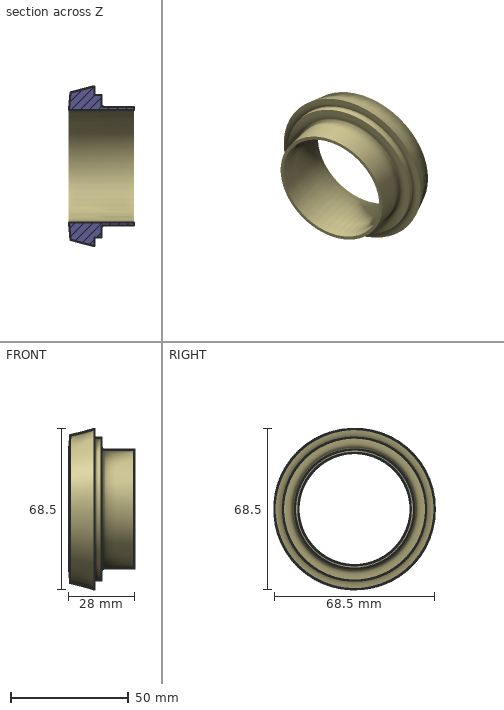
import cadquery as cq

total_length = 28.0
flange_back = 11.0
shoulder_back = 14.05
rim_depth = 0.6

flange_diameter = 68.5
rim_diameter = 63.0
shoulder_diameter = 61.0
spigot_diameter = 50.8
bore_diameter = 47.8
seat_diameter = 48.8

root_fillet = 0.9

half_section = (
    cq.Workplane("XY")
    .moveTo(0, bore_diameter / 2)
    .lineTo(0, seat_diameter / 2)
    .lineTo(rim_depth, rim_diameter / 2)
    .lineTo(flange_back, flange_diameter / 2)
    .lineTo(flange_back, shoulder_diameter / 2)
    .lineTo(shoulder_back, shoulder_diameter / 2)
    .lineTo(shoulder_back, spigot_diameter / 2 + root_fillet)
    .radiusArc((shoulder_back + root_fillet, spigot_diameter / 2), -root_fillet)
    .lineTo(total_length, spigot_diameter / 2)
    .lineTo(total_length, bore_diameter / 2)
    .close()
)

result = half_section.revolve(360, (0, 0, 0), (1, 0, 0))